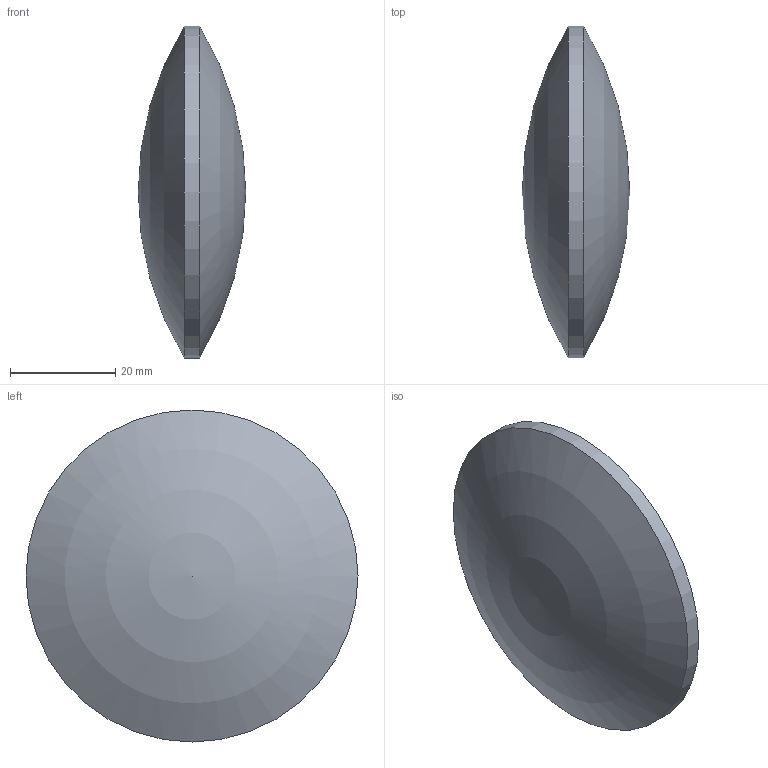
import cadquery as cq

diameter = 63.0
centre_thickness = 20.4
edge_thickness = 2.9

rim_radius = diameter / 2
half_centre = centre_thickness / 2
half_edge = edge_thickness / 2

cap_height = half_centre - half_edge
sphere_radius = (rim_radius**2 + cap_height**2) / (2 * cap_height)


def half_section():
    """Half of the lens cross-section: two face arcs joined by the flat rim."""
    return (
        cq.Workplane("XY")
        .moveTo(-half_centre, 0)
        .radiusArc((-half_edge, rim_radius), sphere_radius)
        .lineTo(half_edge, rim_radius)
        .radiusArc((half_centre, 0), sphere_radius)
        .close()
    )


optical_axis_start = (0, 0, 0)
optical_axis_end = (1, 0, 0)
result = half_section().revolve(360, optical_axis_start, optical_axis_end)